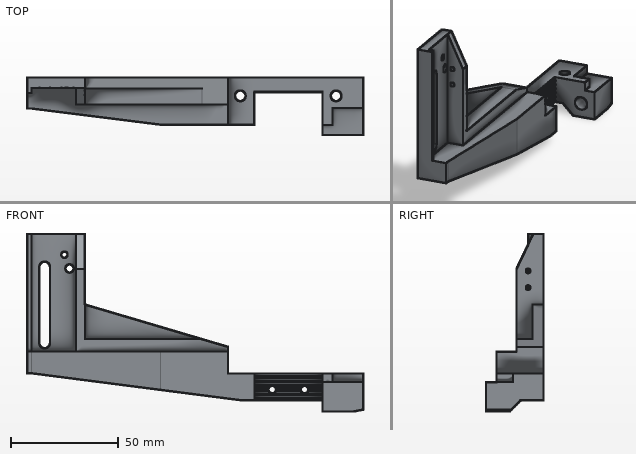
import cadquery as cq

LENGTH = 157.0
DEPTH = 27.0
HEIGHT = 83.0

LIP_WIDTH = 2.0
LIP_Y = 19.8
PLATE_Y = 22.1
RIB_X = 22.8
UPRIGHT_WIDTH = 27.0
RIB_Y = 14.3
RIB_BEVEL_BOTTOM_Z = 66.7

GUSSET_Y = 21.8
GUSSET_TOP_Z = 50.1
GUSSET_END_Z = 30.3
LEDGE_Z = 33.9

BASE_TOP_Z = 28.1
BASE_END_X = 93.9
BASE_FRONT_Y = 4.9
BASE_LEFT_Y = 12.4
TAPER_END_X = 62.2
ARM_TOP_Z = 17.9
ARM_BOTTOM_Z = 5.3
UNDERSIDE_END_X = 99.5

OPENING_X = 106.1
BLOCK_X = 137.8
OPENING_Y = 20.4
RIDGE_COUNT = 6
RIDGE_PITCH = 2.0
RIDGE_WIDTH = 1.0
RIDGE_HEIGHT = 0.5
LOWEST_RIDGE_Z = 6.0

BLOCK_BEVEL_Y = 11.0
BLOCK_BEVEL = ARM_BOTTOM_Z
NOTCH_Z = 13.8
NOTCH_X = 142.5
NOTCH_Y = 12.7
TIP_BEVEL_LENGTH = 4.7
TIP_BEVEL_HEIGHT = 1.0

SLOT_X = 8.2
SLOT_WIDTH = 4.9
SLOT_BOTTOM_Z = 29.7
SLOT_TOP_Z = 70.0
PLATE_HOLES = [(17.5, 73.3, 2.8), (19.8, 66.9, 3.8)]
RIB_HOLE_Y = 19.8
RIB_HOLE_ZS = [58.0, 65.8]
RIB_HOLE_DIAMETER = 2.0
ARM_HOLE_XS = [UNDERSIDE_END_X, 144.3]
ARM_HOLE_Y = 18.4
ARM_HOLE_DIAMETER = 4.9
PAD_HOLE_XS = [114.5, 129.5]
PAD_HOLE_Z = 10.4
PAD_HOLE_DIAMETER = 3.5
BLOCK_HOLE_Y = 6.9
BLOCK_HOLE_Z = 6.9
BLOCK_HOLE_DIAMETER = 6.3
BLOCK_HOLE_DEPTH = 12.5


def box(x, y, z):
    """Axis-aligned box from (low, high) pairs."""
    size = [high - low for low, high in (x, y, z)]
    return cq.Workplane().box(*size, centered=False).translate((x[0], y[0], z[0]))


def along_x(points, x_start, x_end):
    """Extrude a (y, z) outline along X."""
    return cq.Workplane("YZ").workplane(offset=x_start).polyline(points).close().extrude(x_end - x_start)


def along_y(points, y_start, y_end):
    """Extrude an (x, z) outline along Y."""
    plane = cq.Workplane("XZ", origin=(0, y_start, 0))
    return plane.polyline(points).close().extrude(y_start - y_end)


def hole_y(x, z, diameter):
    """Cylinder through the full depth."""
    return cq.Workplane("XZ").center(x, z).circle(diameter / 2).extrude(-DEPTH)


def hole_x(y, z, diameter, x_start, x_end):
    """Cylinder along X between two stations."""
    plane = cq.Workplane("YZ").workplane(offset=x_start)
    return plane.center(y, z).circle(diameter / 2).extrude(x_end - x_start)


def make_base():
    side_outline = [
        (0, ARM_TOP_Z),
        (LIP_WIDTH, ARM_TOP_Z),
        (UNDERSIDE_END_X, ARM_BOTTOM_Z),
        (OPENING_X, ARM_BOTTOM_Z),
        (OPENING_X, ARM_TOP_Z),
        (BASE_END_X, ARM_TOP_Z),
        (BASE_END_X, BASE_TOP_Z),
        (0, BASE_TOP_Z),
    ]
    plan_outline = [
        (0, BASE_LEFT_Y),
        (LIP_WIDTH, BASE_LEFT_Y),
        (TAPER_END_X, BASE_FRONT_Y),
        (OPENING_X, BASE_FRONT_Y),
        (OPENING_X, DEPTH),
        (0, DEPTH),
    ]
    plan = cq.Workplane().polyline(plan_outline).close().extrude(HEIGHT)
    return along_y(side_outline, 0, DEPTH).intersect(plan)


def make_upright():
    plate = box((0, UPRIGHT_WIDTH), (PLATE_Y, DEPTH), (BASE_TOP_Z, HEIGHT))
    lip = box((0, LIP_WIDTH), (LIP_Y, DEPTH), (BASE_TOP_Z, HEIGHT))
    rib_outline = [
        (DEPTH, BASE_TOP_Z),
        (RIB_Y, BASE_TOP_Z),
        (RIB_Y, RIB_BEVEL_BOTTOM_Z),
        (PLATE_Y, HEIGHT),
        (DEPTH, HEIGHT),
    ]
    return plate.union(lip).union(along_x(rib_outline, RIB_X, UPRIGHT_WIDTH))


def make_gusset():
    outline = [
        (UPRIGHT_WIDTH, BASE_TOP_Z),
        (BASE_END_X, BASE_TOP_Z),
        (BASE_END_X, GUSSET_END_Z),
        (UPRIGHT_WIDTH, GUSSET_TOP_Z),
    ]
    pocket = box((UPRIGHT_WIDTH, BASE_END_X), (RIB_Y, GUSSET_Y), (LEDGE_Z, HEIGHT))
    return along_y(outline, RIB_Y, DEPTH).cut(pocket)


def make_ridged_bar():
    outline = [(DEPTH, ARM_BOTTOM_Z), (OPENING_Y, ARM_BOTTOM_Z)]
    for ridge in range(RIDGE_COUNT):
        crest_z = LOWEST_RIDGE_Z + ridge * RIDGE_PITCH
        outline.append((OPENING_Y, crest_z - RIDGE_WIDTH / 2))
        outline.append((OPENING_Y - RIDGE_HEIGHT, crest_z))
        outline.append((OPENING_Y, crest_z + RIDGE_WIDTH / 2))
    outline.append((OPENING_Y, ARM_TOP_Z))
    outline.append((DEPTH, ARM_TOP_Z))
    return along_x(outline, OPENING_X, BLOCK_X)


def make_end_block():
    outline = [
        (0, 0),
        (BLOCK_BEVEL_Y, 0),
        (BLOCK_BEVEL_Y + BLOCK_BEVEL, ARM_BOTTOM_Z),
        (DEPTH, ARM_BOTTOM_Z),
        (DEPTH, ARM_TOP_Z),
        (0, ARM_TOP_Z),
    ]
    block = along_x(outline, BLOCK_X, LENGTH)
    side_notch = box((NOTCH_X, LENGTH), (0, NOTCH_Y), (NOTCH_Z, ARM_TOP_Z))
    front_notch = box((BLOCK_X, LENGTH), (0, BASE_FRONT_Y), (NOTCH_Z, ARM_TOP_Z))
    tip_bevel = along_y(
        [(LENGTH - TIP_BEVEL_LENGTH, 0), (LENGTH, 0), (LENGTH, TIP_BEVEL_HEIGHT)], 0, DEPTH
    )
    bore = hole_x(BLOCK_HOLE_Y, BLOCK_HOLE_Z, BLOCK_HOLE_DIAMETER, BLOCK_X, BLOCK_X + BLOCK_HOLE_DEPTH)
    return block.cut(side_notch).cut(front_notch).cut(tip_bevel).cut(bore)


def cut_holes(body):
    slot_length = SLOT_TOP_Z - SLOT_BOTTOM_Z
    slot_center_z = (SLOT_TOP_Z + SLOT_BOTTOM_Z) / 2
    slot = cq.Workplane("XZ").center(SLOT_X, slot_center_z).slot2D(slot_length, SLOT_WIDTH, 90)
    body = body.cut(slot.extrude(-DEPTH))
    for x, z, diameter in PLATE_HOLES:
        body = body.cut(hole_y(x, z, diameter))
    for x in PAD_HOLE_XS:
        body = body.cut(hole_y(x, PAD_HOLE_Z, PAD_HOLE_DIAMETER))
    for z in RIB_HOLE_ZS:
        body = body.cut(hole_x(RIB_HOLE_Y, z, RIB_HOLE_DIAMETER, RIB_X, UPRIGHT_WIDTH))
    for x in ARM_HOLE_XS:
        drill = cq.Workplane().center(x, ARM_HOLE_Y).circle(ARM_HOLE_DIAMETER / 2).extrude(HEIGHT)
        body = body.cut(drill)
    return body


bracket = make_base().union(make_upright()).union(make_gusset())
bracket = bracket.union(make_ridged_bar()).union(make_end_block())
result = cut_holes(bracket)